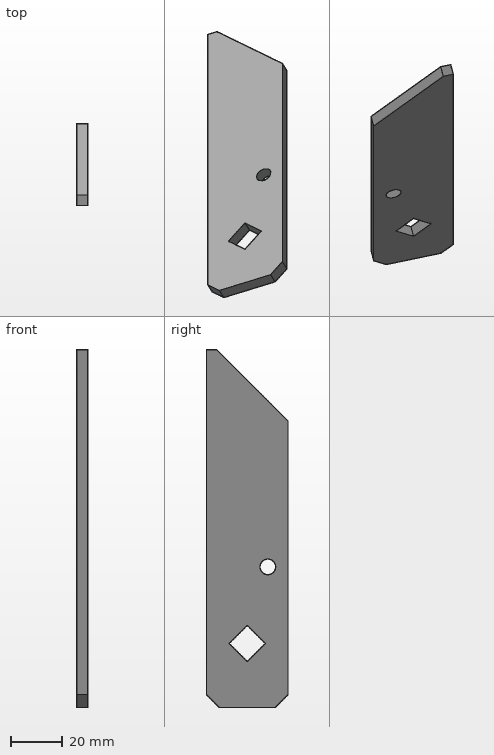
import cadquery as cq

thickness = 4.5
width = 32.0
height = 140.0

tip_width = 4.0
slope = width - tip_width
corner_chamfer = 5.0

hole_diameter = 6.0
hole_edge_distance = 8.0
hole_height = 55.0
square_side = 10.0
square_height = 25.0


def plate():
    """Upright plate with a sloped top and two chamfered bottom corners."""
    outline = [
        (corner_chamfer, 0),
        (width - corner_chamfer, 0),
        (width, corner_chamfer),
        (width, height - slope),
        (tip_width, height),
        (0, height),
        (0, corner_chamfer),
    ]
    return cq.Workplane("YZ").polyline(outline).close().extrude(thickness)


def round_hole():
    """Cutter for the round hole near the +Y edge."""
    return (
        cq.Workplane("YZ")
        .center(width - hole_edge_distance, hole_height)
        .circle(hole_diameter / 2)
        .extrude(thickness)
    )


def diamond_hole():
    """Cutter for the square hole standing on its corner, centred across the width."""
    return (
        cq.Workplane("YZ")
        .center(width / 2, square_height)
        .transformed(rotate=(0, 0, 45))
        .rect(square_side, square_side)
        .extrude(thickness)
    )


result = plate().cut(round_hole()).cut(diamond_hole())